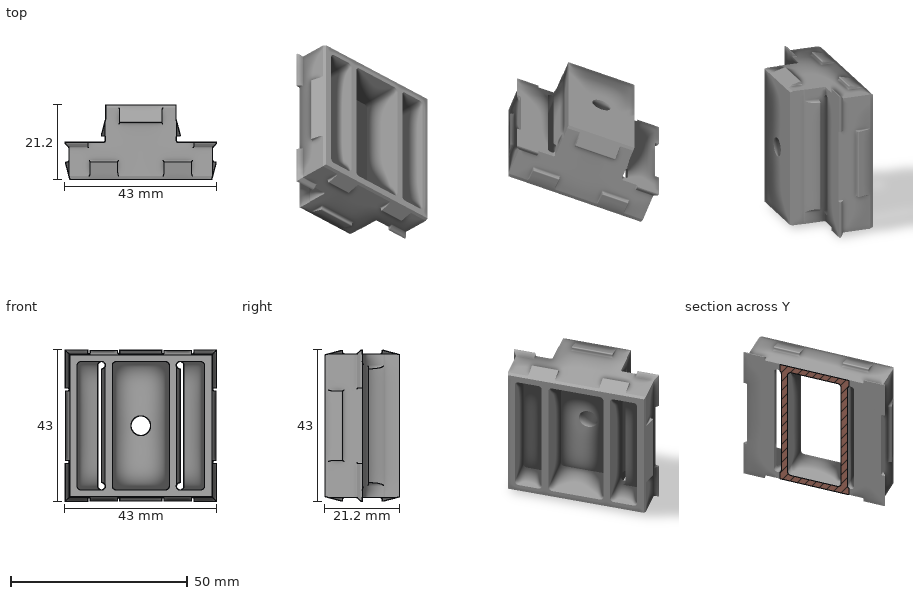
import cadquery as cq
import math

DEPTH = 21.2
BASE_DEPTH = 10.6
BASE_HALF = 20.4
STEM_HALF = 10.12
STEM_BACK_HALF = 10.0
LIP_HALF = 21.5
STEM_FILLET = 0.5
RAMP_SLOPE = math.tan(math.radians(15))
FRONT_CHAMFER = 1.0
BACK_CHAMFER = 0.85
FRONT_HALF = BASE_HALF - FRONT_CHAMFER * RAMP_SLOPE
BACK_HALF = BASE_HALF - BACK_CHAMFER * RAMP_SLOPE
EMBED = 1.0

LIP_TIP_RADIUS = 0.9
LIP_ROOT_RADIUS = 0.25
LIP_START_X = 15.05
LIP_START_Z = 10.7

CLIP_LENGTH = 5.0
CLIP_TIP_RADIUS = 0.3
END_RADIUS = 0.3
CLIP_WALL_RADIUS = 0.5
FRONT_CLIP_INNER = 6.55
FRONT_CLIP_OUTER = 14.4
SIDE_CLIP_HALF = 9.9
BACK_CLIP_HALF = 6.0
STEM_CLIP_START = 17.15
STEM_CLIP_LENGTH = 4.82
STEM_CLIP_WALL_RADIUS = 0.2

POCKET_RADIUS = 1.1
SLOT_RADIUS = 1.03
POCKET_HALF_HEIGHT = 18.2
MIDDLE_POCKET_HALF = 8.1
MIDDLE_POCKET_DEPTH = 12.3
SIDE_POCKET_OUTER = 18.1
SIDE_POCKET_DEPTH = 8.6
HOLE_DIAMETER = 5.5
STEM_CLIP_HALF = POCKET_HALF_HEIGHT - 2 * SLOT_RADIUS


def quarter_turn(shape):
    """Turn a shape about Y so that its +Z side faces +X."""
    return shape.rotate((0, 0, 0), (0, 1, 0), 90)


def with_mirror(shape, plane):
    return shape.union(shape.mirror(plane))


def along_x(profile, x_min, x_max):
    """Extrude a closed (Y, Z) profile from x_min to x_max."""
    return profile.extrude(x_max - x_min).translate((x_min, 0, 0))


def square_ring(profile_of_side):
    """Square solid whose four sides all follow the same (Y, Z) profile, mitred at the corners."""
    prism = along_x(profile_of_side, -LIP_HALF, LIP_HALF)
    return prism.intersect(quarter_turn(prism))


def base():
    profile = cq.Workplane("YZ").polyline([
        (0, -FRONT_HALF),
        (FRONT_CHAMFER, -BASE_HALF),
        (BASE_DEPTH, -BASE_HALF),
        (BASE_DEPTH, BASE_HALF),
        (FRONT_CHAMFER, BASE_HALF),
        (0, FRONT_HALF),
    ]).close()
    return square_ring(profile)


def stem():
    step_y = STEM_CLIP_START - (STEM_HALF - STEM_BACK_HALF) / RAMP_SLOPE
    root_y = BASE_DEPTH - EMBED
    half_plan = (
        cq.Workplane("XY")
        .moveTo(0, root_y)
        .lineTo(STEM_HALF + STEM_FILLET, root_y)
        .lineTo(STEM_HALF + STEM_FILLET, BASE_DEPTH)
        .radiusArc((STEM_HALF, BASE_DEPTH + STEM_FILLET), STEM_FILLET)
        .lineTo(STEM_HALF, step_y)
        .lineTo(STEM_BACK_HALF, STEM_CLIP_START)
        .lineTo(STEM_BACK_HALF, DEPTH)
        .lineTo(0, DEPTH)
        .close()
        .extrude(BASE_HALF, both=True)
    )
    side = cq.Workplane("YZ").polyline([
        (root_y, -BASE_HALF),
        (DEPTH - BACK_CHAMFER, -BASE_HALF),
        (DEPTH, -BACK_HALF),
        (DEPTH, BACK_HALF),
        (DEPTH - BACK_CHAMFER, BASE_HALF),
        (root_y, BASE_HALF),
    ]).close()
    return with_mirror(half_plan, "YZ").intersect(along_x(side, -BASE_HALF, BASE_HALF))


def flared_tab(x_min, x_max, face, end_radius):
    """Tab standing on the plane Z = face, with concave fillets at the root of both ends.

    It runs through the whole depth and is trimmed by the cross section of a clip or lip.
    """
    top = face + 2 * EMBED
    return (
        cq.Workplane("XZ")
        .moveTo(x_min - end_radius, face - EMBED)
        .lineTo(x_min - end_radius, face)
        .radiusArc((x_min, face + end_radius), -end_radius)
        .lineTo(x_min, top)
        .lineTo(x_max, top)
        .lineTo(x_max, face + end_radius)
        .radiusArc((x_max + end_radius, face), -end_radius)
        .lineTo(x_max + end_radius, face - EMBED)
        .close()
        .extrude(-DEPTH)
    )


def clip(x_min, x_max, face, ramp_base, length=CLIP_LENGTH,
         wall_radius=CLIP_WALL_RADIUS, end_radius=END_RADIUS):
    """Snap clip on the plane Z = face: a ramp from Y = 0, Z = ramp_base up to a steep wall."""
    tip_z = ramp_base + length * RAMP_SLOPE
    ramp_angle = math.atan(RAMP_SLOPE)
    tip_tangent = CLIP_TIP_RADIUS / math.tan((math.pi / 2 - ramp_angle) / 2)
    section = (
        cq.Workplane("YZ")
        .moveTo(0, face - EMBED)
        .lineTo(0, ramp_base)
        .lineTo(length - tip_tangent * math.cos(ramp_angle), tip_z - tip_tangent * math.sin(ramp_angle))
        .radiusArc((length, tip_z - tip_tangent), CLIP_TIP_RADIUS)
        .lineTo(length, face + wall_radius)
        .radiusArc((length + wall_radius, face), -wall_radius)
        .lineTo(length + wall_radius, face - EMBED)
        .close()
    )
    trim = along_x(section, x_min - end_radius, x_max + end_radius)
    return flared_tab(x_min, x_max, face, end_radius).intersect(trim)


def facing_back(shape, start):
    """Flip a clip so that its ramp begins at Y = start and rises towards the front."""
    return shape.mirror("XZ").translate((0, start, 0))


def front_clips():
    top = with_mirror(clip(FRONT_CLIP_INNER, FRONT_CLIP_OUTER, BASE_HALF, FRONT_HALF), "YZ")
    side = quarter_turn(clip(-SIDE_CLIP_HALF, SIDE_CLIP_HALF, BASE_HALF, FRONT_HALF))
    return with_mirror(top, "XY").union(with_mirror(side, "YZ"))


def back_clips():
    flat = clip(-BACK_CLIP_HALF, BACK_CLIP_HALF, BASE_HALF, BACK_HALF)
    return with_mirror(facing_back(flat, DEPTH), "XY")


def stem_clips():
    flat = clip(-STEM_CLIP_HALF, STEM_CLIP_HALF, STEM_HALF, STEM_BACK_HALF,
                STEM_CLIP_LENGTH, STEM_CLIP_WALL_RADIUS, SLOT_RADIUS)
    return with_mirror(quarter_turn(facing_back(flat, STEM_CLIP_START)), "YZ")


def corner_lips():
    """Bevelled lips around the four corners of the ledge."""
    diagonal = math.sqrt(0.5)
    bevel_top_y = BASE_DEPTH - LIP_TIP_RADIUS * diagonal
    bevel_top_z = LIP_HALF - LIP_TIP_RADIUS * (1 - diagonal)
    bevel_root_y = bevel_top_y - (bevel_top_z - BASE_HALF)
    root_tangent = LIP_ROOT_RADIUS * math.tan(math.pi / 8)
    root_end = root_tangent * diagonal
    half_profile = (
        cq.Workplane("YZ")
        .moveTo(bevel_root_y - root_tangent, 0)
        .lineTo(bevel_root_y - root_tangent, BASE_HALF)
        .radiusArc((bevel_root_y + root_end, BASE_HALF + root_end), -LIP_ROOT_RADIUS)
        .lineTo(bevel_top_y, bevel_top_z)
        .radiusArc((BASE_DEPTH, LIP_HALF), LIP_TIP_RADIUS)
        .lineTo(BASE_DEPTH, 0)
        .close()
    )
    prism = with_mirror(along_x(half_profile, -LIP_HALF, LIP_HALF), "XY")
    ring = prism.intersect(quarter_turn(prism))
    top = flared_tab(LIP_START_X, LIP_HALF, BASE_HALF, END_RADIUS)
    side = quarter_turn(flared_tab(-LIP_HALF, -LIP_START_Z, BASE_HALF, END_RADIUS))
    corner = ring.intersect(top.union(side))
    return with_mirror(with_mirror(corner, "YZ"), "XY")


def pocket_volume(x_min, x_max, depth):
    """Tall pocket volume with rounded corners, open at the front face."""
    block = cq.Workplane("XY").box(x_max - x_min, depth, 2 * POCKET_HALF_HEIGHT)
    block = block.translate(((x_min + x_max) / 2, depth / 2, 0))
    return block.edges("|Y").fillet(POCKET_RADIUS)


def side_openings():
    """Side pockets, each with a slot through the ledge along the stem."""
    pocket = pocket_volume(STEM_HALF, SIDE_POCKET_OUTER, SIDE_POCKET_DEPTH)
    slot = (
        cq.Workplane("XZ")
        .center(STEM_HALF + SLOT_RADIUS, 0)
        .slot2D(2 * POCKET_HALF_HEIGHT, 2 * SLOT_RADIUS, 90)
        .extrude(-(BASE_DEPTH + STEM_FILLET))
    )
    return with_mirror(pocket.union(slot), "YZ")


def middle_opening():
    """Middle pocket with a round hole through the back wall."""
    pocket = pocket_volume(-MIDDLE_POCKET_HALF, MIDDLE_POCKET_HALF, MIDDLE_POCKET_DEPTH)
    hole = cq.Workplane("XZ").circle(HOLE_DIAMETER / 2).extrude(-DEPTH)
    return pocket.union(hole)


result = (
    base()
    .union(stem())
    .union(corner_lips())
    .union(front_clips())
    .union(back_clips())
    .union(stem_clips())
    .cut(side_openings())
    .cut(middle_opening())
)